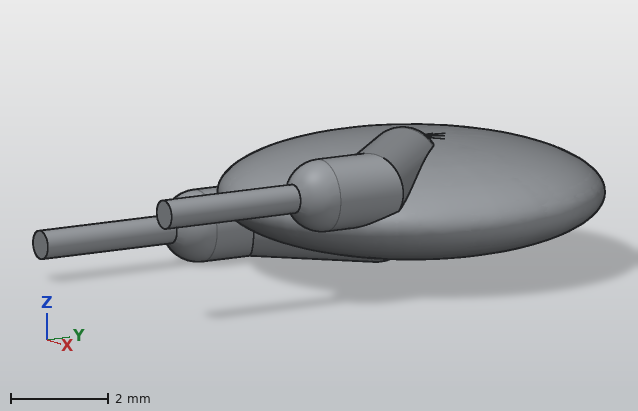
import cadquery as cq

body_diameter = 7.99
body_thickness = 2.33

coat_diameter = 1.5
leg_spacing = 4.9
inner_end = 0.53
coat_end_y = -3.65

wire_diameter = 0.6
total_length = 11.44

body_radius = body_diameter / 2
coat_radius = coat_diameter / 2
leg_offset_z = coat_radius
leg_x = leg_spacing / 2
wire_end_y = body_radius - total_length


def make_body():
    """Flattened ellipsoid: half an ellipse turned about Z."""
    half_thickness = body_thickness / 2
    half_profile = (
        cq.Workplane("XZ")
        .moveTo(0, -half_thickness)
        .ellipseArc(body_radius, half_thickness, -90, 90, startAtCurrent=True)
        .close()
    )
    return half_profile.revolve(360, (0, 0, 0), (0, 1, 0))


def ball(x, y, z):
    return cq.Workplane("XY").sphere(coat_radius).translate((x, y, z))


def make_leg(side):
    """Bent coated leg with its wire; side is +1 (right, upper) or -1 (left, lower)."""
    z = side * leg_offset_z
    start = (side * inner_end, -inner_end)
    bend = (side * leg_x, -leg_x)
    coat_end = (side * leg_x, coat_end_y)

    path = cq.Workplane("XY", origin=(0, 0, z)).polyline([start, bend, coat_end])
    start_plane = cq.Plane(origin=(*start, z), xDir=(0, 0, 1), normal=(side, -1, 0))
    coat = cq.Workplane(start_plane).circle(coat_radius).sweep(path, transition="right")

    wire = (
        cq.Workplane("XZ", origin=(side * leg_x, coat_end_y, z))
        .circle(wire_diameter / 2)
        .extrude(coat_end_y - wire_end_y)
    )
    return coat.union(ball(*start, z)).union(ball(*coat_end, z)).union(wire)


result = make_body().union(make_leg(1)).union(make_leg(-1))